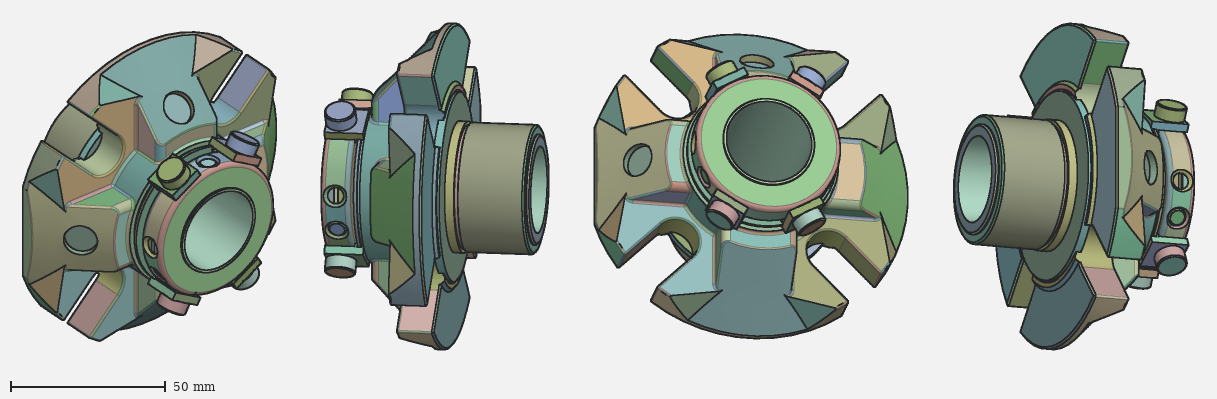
import cadquery as cq
import math


BORE_D = 28.0
NOSE_R = 17.9
NOSE_LEN = 1.0
SLEEVE_R = 21.0
GROOVE_D = 40.2
GROOVE_START = 22.7
SHOULDER_R = 21.3
SHOULDER_START = 23.9
TAIL_R = 15.0
TOTAL_LEN = 68.0
SLEEVE_CHAMFER = 0.6

FRONT_DISC_R = 30.7
FRONT_DISC_START = 26.9
SPIGOT_R = 32.9
SPIGOT_FLARE_R = 34.0
SPIGOT_START = 27.5
SPIGOT_GAP = 0.6
FLANGE_FRONT = 28.6
FLANGE_BACK = 40.8
FLANGE_R = 52.7
CONE_START = 31.3
FLAT_DISTANCE = 50.0
FLANGE_CHAMFER = 0.6
SLOT_WIDTH = 14.8
SLOT_END_CENTER = 35.4
SLOT_LENGTH = 31.6
SLOT_ANGLES = (45, 135, 225, 315)

PAD_TIP = cq.Vector(CONE_START, 19.6, 48.9)
PAD_OUTER = cq.Vector(FLANGE_BACK, 27.5, 44.9)
PAD_INNER = cq.Vector(FLANGE_BACK, 10.8, 42.0)

HUB_R = 25.5
HUB_END = 54.0
LOBE_BACK = 52.9
SHORT_LOBE_BACK = 48.7
LOBES = {0: SHORT_LOBE_BACK, 90: LOBE_BACK, 180: LOBE_BACK, 270: LOBE_BACK}
LOBE_WIDTH = 24.9
LOBE_CORNER_R = 2.5
ROOT_FILLET = 1.0
LOBE_TOP_FILLET = 0.7
ARM_CORNER_FILLET = 0.5
SLOT_BACK_FILLET = 0.6
PORT_D = 11.0
PORT_DEPTH = 2.5
FRONT_PORT_X = 45.2
TOP_PORT_X = 47.3

SEAT_D = 47.5
RING_R = 24.6
RING_START = 55.1
RING_END = 56.2
INNER_RING_R = 18.5
INNER_RING_END = 56.9

COLLAR_R = 23.8
COLLAR_START = 57.7
COLLAR_END = 67.3
COLLAR_FILLET = 1.6
SCREW_X = 62.4
SINK_D = 7.8
SINK_DEPTH = 1.3
SLOTTED_D = 5.3
SLOT_GAP = 1.4
SET_SCREW_D = 6.0
SET_SCREW_TIP_D = 5.0
SET_SCREW_RISE = 0.5
SET_SCREW_ANGLES = (90, 210, 330)
SLOTTED_ANGLES = (0, 180)

CLIP_START = 54.3
CLIP_END = 67.0
CLIP_WIDTH = 11.8
CLIP_OUTER_R = 26.4
CLIP_THICKNESS = 2.7
TOOTH_START = 56.5
TOOTH_END = 57.2
TOOTH_DEPTH = 1.2
HEAD_D = 10.0
HEAD_TOP_R = 30.8
HEAD_CHAMFER = 0.4
CLIP_ANGLES = (60, 120, 240, 300)

TOLERANCE = 0.01
OVERLAP = 1.1


def around(shape, angle):
    """Turn a shape built on the +Z side so that it points at `angle`, counted from +Y towards +Z."""
    return shape.rotate((0, 0, 0), (1, 0, 0), angle - 90)


def revolved(points):
    """Revolve an (x, radius) outline about the shaft axis."""
    return cq.Workplane("XY").polyline(points).close().revolve(360, (0, 0, 0), (1, 0, 0))


def disc(start, end, radius):
    return cq.Workplane("YZ", origin=(start, 0, 0)).circle(radius).extrude(end - start)


def block(x_range, y_range, z_range):
    low, high = zip(x_range, y_range, z_range)
    size = [b - a for a, b in zip(low, high)]
    return cq.Workplane("XY").box(*size, centered=False).translate(low)


def radial_disc(radius, start, end, taper_radius=None):
    """Disc about the +Z line through the collar screws; a taper radius makes its outer end a cone."""
    outline = [(0, start), (radius, start), (taper_radius or radius, end), (0, end)]
    solid = cq.Workplane("XZ").polyline(outline).close().revolve(360, (0, 0, 0), (0, 1, 0))
    return solid.translate((SCREW_X, 0, 0))


def cone_radius(x):
    """Radius of the 45 degree cone that covers flange and lobes."""
    return FLANGE_R - (x - CONE_START)


def make_sleeve():
    nose = disc(0, NOSE_LEN + OVERLAP, NOSE_R).faces("<X").chamfer(SLEEVE_CHAMFER)
    barrel = disc(NOSE_LEN, GROOVE_START, SLEEVE_R).faces("<X").chamfer(SLEEVE_CHAMFER)
    core = disc(GROOVE_START - OVERLAP, SHOULDER_START + OVERLAP, GROOVE_D / 2)
    shoulder = disc(SHOULDER_START, FRONT_DISC_START + OVERLAP, SHOULDER_R)
    tail = disc(FRONT_DISC_START, TOTAL_LEN, TAIL_R)
    return nose.union(barrel).union(core).union(shoulder).union(tail)


def make_corner_pad():
    """Part of the full-radius flange left under a sloping plane at one corner of the +Z arm."""
    wedge = (
        cq.Workplane("YZ", origin=(FLANGE_FRONT, 0, 0))
        .polyline([(0, 0), (FLANGE_R, FLANGE_R), (0, FLANGE_R)])
        .close()
        .extrude(FLANGE_BACK - FLANGE_FRONT)
    )
    pad = wedge.intersect(disc(FLANGE_FRONT, FLANGE_BACK, FLANGE_R))
    across = PAD_OUTER - PAD_INNER
    normal = across.cross(PAD_TIP - PAD_OUTER)
    plane = cq.Plane(origin=PAD_TIP.toTuple(), xDir=across.toTuple(), normal=normal.toTuple())
    above = cq.Workplane(plane).rect(4 * FLANGE_R, 4 * FLANGE_R).extrude(FLANGE_R)
    return pad.cut(above)


def make_slot():
    """Round-ended bolt slot, open outwards, on the +Z side."""
    end = (
        cq.Workplane("YZ", origin=(SPIGOT_START - OVERLAP, 0, SLOT_END_CENTER))
        .circle(SLOT_WIDTH / 2)
        .extrude(FLANGE_BACK - SPIGOT_START + 2 * OVERLAP)
    )
    mouth = block(
        (SPIGOT_START - OVERLAP, FLANGE_BACK + OVERLAP),
        (-SLOT_WIDTH / 2, SLOT_WIDTH / 2),
        (SLOT_END_CENTER, SLOT_END_CENTER + SLOT_LENGTH),
    )
    return end.union(mouth)


def make_lobe(back):
    """Straight-sided prism that bounds the +Z lobe and ends at x = `back`."""
    side = LOBE_WIDTH / 2
    prism = block((FLANGE_FRONT, back), (-side, side), (0, FLANGE_R))
    return prism.edges(">X and |Z").fillet(LOBE_CORNER_R)


def make_arms():
    """Flange arms with corner pads and, behind them, the lobes under the same cone."""
    outside_cone = revolved([
        (CONE_START, FLANGE_R),
        (LOBE_BACK, cone_radius(LOBE_BACK)),
        (LOBE_BACK, FLANGE_R + OVERLAP),
        (CONE_START, FLANGE_R + OVERLAP),
    ])
    pad = make_corner_pad()
    outline = disc(FLANGE_FRONT, FLANGE_BACK, FLANGE_R)
    for angle, back in LOBES.items():
        outside_cone = outside_cone.cut(around(pad, angle))
        outside_cone = outside_cone.cut(around(pad.mirror("XZ"), angle))
        outline = outline.union(around(make_lobe(back), angle))
    arms = disc(FLANGE_FRONT, LOBE_BACK, FLANGE_R).cut(outside_cone).intersect(outline)
    arms = arms.cut(block((0, TOTAL_LEN), (-2 * FLANGE_R, -FLAT_DISTANCE), (-FLANGE_R, FLANGE_R)))
    for angle in SLOT_ANGLES:
        arms = arms.cut(around(make_slot(), angle))
    return arms.faces("<X").chamfer(FLANGE_CHAMFER)


def make_spigot():
    """Raised ring on the flange front, parted by the slots, around the front disc."""
    spigot = revolved([
        (SPIGOT_START, FRONT_DISC_R + SPIGOT_GAP),
        (SPIGOT_START, SPIGOT_R),
        (FLANGE_FRONT, SPIGOT_FLARE_R),
        (FLANGE_FRONT + OVERLAP, SPIGOT_FLARE_R),
        (FLANGE_FRONT + OVERLAP, FRONT_DISC_R),
        (FLANGE_FRONT - SPIGOT_GAP, FRONT_DISC_R),
        (FLANGE_FRONT - SPIGOT_GAP, FRONT_DISC_R + SPIGOT_GAP),
    ])
    for angle in SLOT_ANGLES:
        spigot = spigot.cut(around(make_slot(), angle))
    return spigot


def make_port(x):
    """Shallow flush port sunk square into the cone of the +Z lobe."""
    inward = cq.Plane(origin=(x, 0, cone_radius(x)), xDir=(0, 1, 0), normal=(-1, 0, -1))
    return cq.Workplane(inward).workplane(offset=-OVERLAP).circle(PORT_D / 2).extrude(PORT_DEPTH + OVERLAP)


def axis_distance(edge):
    return math.hypot(edge.Center().y, edge.Center().z)


def round_arms(arms):
    """Round the outer slot corners, the rim of the flat and the long top edges of the lobes."""
    corners = arms.edges("|X").filter(lambda edge: axis_distance(edge) > FLANGE_R - OVERLAP)
    arms = corners.fillet(ARM_CORNER_FILLET)
    flat_rim = arms.edges("%HYPERBOLA").filter(lambda edge: edge.Center().y < -FLAT_DISTANCE + TOLERANCE)
    arms = flat_rim.fillet(ARM_CORNER_FILLET)
    lobe_tops = arms.edges("%HYPERBOLA").filter(lambda edge: edge.Center().x > FLANGE_BACK)
    return lobe_tops.fillet(LOBE_TOP_FILLET)


def is_root_edge(edge):
    """True where a lobe side meets the hub, or where a lobe or the hub meets the flange back."""
    box = edge.BoundingBox()
    on_back = box.xlen < TOLERANCE and abs(box.xmin - FLANGE_BACK) < TOLERANCE
    if edge.geomType() == "CIRCLE":
        return on_back and abs(edge.radius() - HUB_R) < TOLERANCE
    if edge.geomType() != "LINE":
        return False
    along_hub = FLANGE_BACK + TOLERANCE < edge.Center().x < LOBE_BACK - LOBE_CORNER_R
    on_hub = along_hub and abs(axis_distance(edge) - HUB_R) < TOLERANCE
    return on_hub or (on_back and axis_distance(edge) < SLOT_END_CENTER)


def is_slot_end(edge):
    """True for the round end of a slot on the flange back."""
    on_back = edge.geomType() == "CIRCLE" and abs(edge.Center().x - FLANGE_BACK) < TOLERANCE
    return on_back and abs(edge.radius() - SLOT_WIDTH / 2) < TOLERANCE


def make_gland():
    gland = round_arms(make_arms()).union(disc(FLANGE_FRONT, HUB_END, HUB_R))
    gland = gland.edges().filter(is_root_edge).fillet(ROOT_FILLET)
    gland = gland.edges().filter(is_slot_end).fillet(SLOT_BACK_FILLET)
    gland = gland.union(make_spigot()).union(disc(FRONT_DISC_START, FLANGE_FRONT + OVERLAP, FRONT_DISC_R))
    gland = gland.cut(around(make_port(TOP_PORT_X), 90))
    return gland.cut(around(make_port(FRONT_PORT_X), 180))


def make_rings():
    seat = disc(HUB_END - OVERLAP, RING_START, SEAT_D / 2)
    ring = disc(RING_START, RING_END, RING_R)
    inner_ring = disc(RING_END, INNER_RING_END, INNER_RING_R)
    return seat.union(ring).union(inner_ring)


def make_collar():
    collar = disc(COLLAR_START, COLLAR_END, COLLAR_R).edges().fillet(COLLAR_FILLET)
    floor = COLLAR_R - SINK_DEPTH
    slotted_sink = radial_disc(SLOTTED_D / 2, floor, COLLAR_R, SINK_D / 2)
    screw_slot = block(
        (SCREW_X - SLOT_GAP / 2, SCREW_X + SLOT_GAP / 2),
        (-SLOTTED_D / 2, SLOTTED_D / 2),
        (floor - OVERLAP, COLLAR_R),
    )
    for angle in SLOTTED_ANGLES:
        collar = collar.cut(around(slotted_sink.union(screw_slot), angle))
    set_sink = radial_disc(SET_SCREW_D / 2, floor, COLLAR_R, SINK_D / 2)
    set_screw = radial_disc(SET_SCREW_D / 2, floor, floor + SET_SCREW_RISE, SET_SCREW_TIP_D / 2)
    for angle in SET_SCREW_ANGLES:
        collar = collar.cut(around(set_sink.cut(set_screw), angle))
    return collar


def make_clip():
    """Setting clip on the +Z side: plate, locating tooth and screw head."""
    half = CLIP_WIDTH / 2
    under = CLIP_OUTER_R - CLIP_THICKNESS
    plate = block((CLIP_START, CLIP_END), (-half, half), (under, CLIP_OUTER_R))
    tooth = block((TOOTH_START, TOOTH_END), (-half, half), (under - TOOTH_DEPTH, under))
    head = radial_disc(HEAD_D / 2, CLIP_OUTER_R, HEAD_TOP_R).faces(">Z").chamfer(HEAD_CHAMFER)
    return plate.union(tooth).union(head)


result = make_gland().union(make_sleeve()).union(make_rings()).union(make_collar())
clip = make_clip()
for clip_angle in CLIP_ANGLES:
    result = result.union(around(clip, clip_angle))
result = result.cut(disc(-OVERLAP, TOTAL_LEN + OVERLAP, BORE_D / 2))